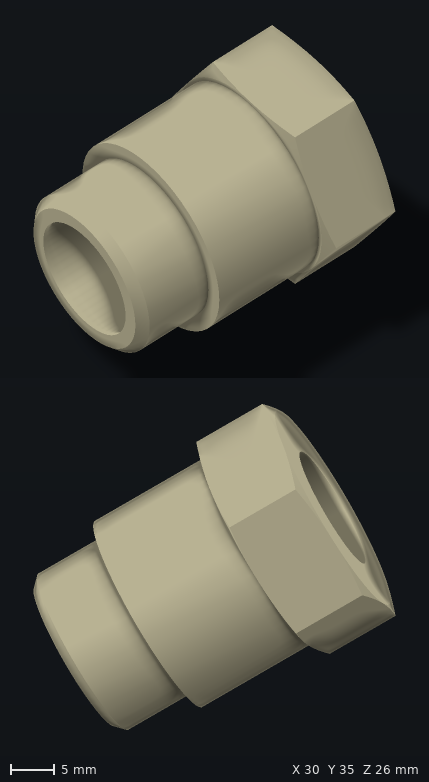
import cadquery as cq
import math

total_length = 35.0
hex_length = 10.0
spigot_length = 10.0
barrel_length = total_length - hex_length - spigot_length

hex_across_flats = 26.0
hex_across_corners = hex_across_flats / math.cos(math.radians(30))
barrel_diameter = 25.0
spigot_diameter = 20.95
spigot_tip_diameter = 18.62
bore_diameter = 15.0

spigot_chamfer = (spigot_diameter - spigot_tip_diameter) / 2
hex_chamfer_angle = 15.0
hex_chamfer_radial = (hex_across_corners - hex_across_flats) / 2
hex_chamfer_depth = hex_chamfer_radial * math.tan(math.radians(hex_chamfer_angle))


def cylinder(diameter, length):
    """Cylinder from the spigot tip plane (Y = 0) towards +Y."""
    return cq.Workplane("XZ").circle(diameter / 2).extrude(-length)


def chamfered_hexagon():
    """Hexagon with corners on X, conically chamfered at both ends."""
    prism = cq.Workplane("XZ").polygon(6, hex_across_corners).extrude(-hex_length)
    flat_radius = hex_across_flats / 2
    corner_radius = hex_across_corners / 2
    envelope = (
        cq.Workplane("XY")
        .moveTo(0, 0)
        .lineTo(flat_radius, 0)
        .lineTo(corner_radius, hex_chamfer_depth)
        .lineTo(corner_radius, hex_length - hex_chamfer_depth)
        .lineTo(flat_radius, hex_length)
        .lineTo(0, hex_length)
        .close()
        .revolve(360, (0, 0, 0), (0, 1, 0))
    )
    return prism.intersect(envelope)


spigot = cylinder(spigot_diameter, spigot_length).faces("<Y").chamfer(spigot_chamfer)
barrel = cylinder(barrel_diameter, barrel_length).translate((0, spigot_length, 0))
hexagon = chamfered_hexagon().translate((0, spigot_length + barrel_length, 0))
bore = cylinder(bore_diameter, total_length)

result = spigot.union(barrel).union(hexagon).cut(bore)